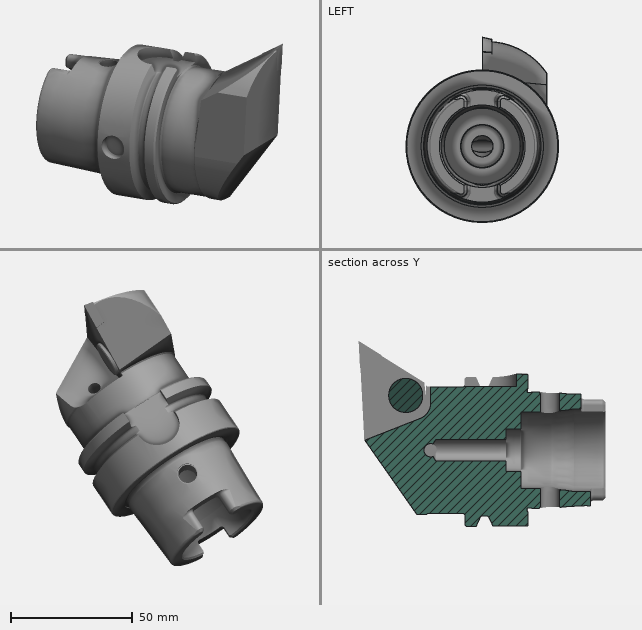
import cadquery as cq
import math


SHANK_LENGTH = 31.9
GAUGE_RADIUS = 24.3
TAPER_END = -1.8
TAPER_SLOPE = 0.05
RELIEF_START = -0.9
RELIEF_RADIUS = 23.9
MOUTH_ROUND = 1.1
MOUTH_FLARE = 45.0
BORE_RADIUS = 17.0
BORE_CHAMFER = 0.7
BORE_STRAIGHT_END = -18.9
BORE_INNER_RADIUS = 15.7
BORE_TAPER_END = -9.7
BORE_FLOOR = 3.1
COUNTERBORE_RADIUS = 9.0
COUNTERBORE_CHAMFER = 0.2
COUNTERBORE_DEPTH = 6.1
COOLANT_BORE_RADIUS = 4.4
COOLANT_BORE_END = 38.2
COOLANT_POINT_LENGTH = 2.5
CLAMP_HOLE_X = -8.9
CLAMP_HOLE_RADIUS = 3.9
CLAMP_HOLE_MOUTH = 4.3
SLOT_HALF_WIDTH = 6.3
SLOT_CREST = 20.9
SLOT_EDGE_ROUND = 2.3
SLOT_SHOULDER_FALL = 16.0
SLOT_FLOOR_FILLET = 1.3
UPPER_SLOT_END = -21.8
LOWER_SLOT_END = -25.7

FLANGE_RADIUS = 31.5
FLANGE_WIDTH = 26.2
FLANGE_EDGE = 0.6
FACE_EDGE = 0.3
FACE_RECESS_RADIUS = 25.3
FACE_RECESS_DEPTH = 0.5
GROOVE_RADIUS = 27.3
GROOVE_START = 14.7
GROOVE_END = 21.5
GROOVE_FLANK = 1.9
GROOVE_FILLET = 0.6
KEYWAY_START = 5.0
KEYWAY_HALF_WIDTH = 9.1
KEYWAY_FLOOR = 26.4
CHIP_HOLE_X = 7.2
CHIP_HOLE_RADIUS = 5.1
CHIP_HOLE_DEPTH = 4.3
CHIP_HOLE_FILLET = 0.2

NECK_RADIUS = 26.2
HEAD_RADIUS = 26.7
HEAD_START = 42.1
HEAD_CHAMFER = 0.5
CLEARANCE = 7.0
LEAD_ANGLE = 32.0
INSERT_ANGLE = 55.0
LOWER_FACE_ANGLE = 35.0
HEAD_KNEE_Z = 4.2
HEAD_FLAT_TOP = 30.1
CROWN_RADIUS = 30.1
CROWN_CENTRE_Y = -1.8
BACK_FACE_LEAN = 7.1
BACK_FACE_TURN = 5.3
BACK_FACE_CORNER = (45.0, -HEAD_RADIUS, 25.2)
CUTTING_HALF_TURN = -0.12
BACKING_HALF_TURN = 0.75

POCKET_START = 40.5
POCKET_FLOOR_ANGLE = 21.5
POCKET_FILLET = 6.6
POCKET_HOLE_X = 45.4
POCKET_HOLE_Y = 10.8
POCKET_HOLE_RADIUS = 2.6

TIP_X = 70.0
TIP_Z = 45.0
INSERT_EDGE = 11.2
INSERT_THICKNESS = 4.0
INSERT_OVERHANG = 0.2
DISC_RADIUS = 7.5
DISC_THICKNESS = 1.7
DISC_CHAMFER = 0.4
DISC_X = 50.6
DISC_Z = 22.6

FAR = 61.1


def direction(angle):
    """Unit vector in the XZ plane, measured from +X towards +Z."""
    turn = math.radians(angle)
    return cq.Vector(math.cos(turn), 0, math.sin(turn))


TIP = cq.Vector(TIP_X, 0, TIP_Z)
LEAD_EDGE = direction(LEAD_ANGLE)
END_EDGE = direction(LEAD_ANGLE + INSERT_ANGLE)


def xz(vector):
    """Local coordinates of a point on the XZ workplane."""
    return (vector.x, vector.z)


def half_space(point, normal):
    """Large block that fills the side of a plane to which the normal points."""
    axis = cq.Vector(*normal)
    across = axis.cross(cq.Vector(0, 1, 0))
    plane = cq.Plane(origin=point, xDir=across, normal=axis)
    return cq.Workplane(plane).rect(4 * FAR, 4 * FAR).extrude(2 * FAR)


def turned(points):
    """Solid of revolution about the X axis from (x, radius) points."""
    return cq.Workplane("XY").polyline(points).close().revolve(360, (0, 0, 0), (1, 0, 0))


def head_corners():
    middle = direction(LEAD_ANGLE + INSERT_ANGLE / 2)
    inset = INSERT_OVERHANG / math.sin(math.radians(INSERT_ANGLE / 2))
    nose = TIP - middle * inset
    knee = nose - END_EDGE * ((nose.z - HEAD_KNEE_Z) / END_EDGE.z)
    return nose, knee


NOSE, KNEE = head_corners()


def turned_body():
    """Shank, flange and neck."""
    front_radius = GAUGE_RADIUS - TAPER_SLOPE * (SHANK_LENGTH + TAPER_END)
    body = turned([
        (-SHANK_LENGTH, 0),
        (-SHANK_LENGTH, front_radius),
        (TAPER_END, GAUGE_RADIUS),
        (RELIEF_START, RELIEF_RADIUS),
        (FACE_RECESS_DEPTH, RELIEF_RADIUS),
        (FACE_RECESS_DEPTH, FACE_RECESS_RADIUS),
        (0, FACE_RECESS_RADIUS),
        (0, FLANGE_RADIUS - FACE_EDGE),
        (FACE_EDGE, FLANGE_RADIUS),
        (FLANGE_WIDTH - FLANGE_EDGE, FLANGE_RADIUS),
        (FLANGE_WIDTH, FLANGE_RADIUS - FLANGE_EDGE),
        (FLANGE_WIDTH, NECK_RADIUS + FLANGE_EDGE),
        (FLANGE_WIDTH + FLANGE_EDGE, NECK_RADIUS),
        (HEAD_START - HEAD_CHAMFER, NECK_RADIUS),
        (HEAD_START, NECK_RADIUS + HEAD_CHAMFER),
        (HEAD_START, 0),
    ])
    return body.faces("<X").edges().fillet(MOUTH_ROUND)


def gripper_groove():
    """Ring that cuts the V-shaped groove, with rounded floor corners."""
    ring = turned([
        (GROOVE_START, FLANGE_RADIUS),
        (GROOVE_START + GROOVE_FLANK, GROOVE_RADIUS),
        (GROOVE_END - GROOVE_FLANK, GROOVE_RADIUS),
        (GROOVE_END, FLANGE_RADIUS),
    ])
    return ring.edges(cq.selectors.RadiusNthSelector(0)).fillet(GROOVE_FILLET)


def bore():
    """Stepped cavity that opens at the shank mouth."""
    counterbore_end = BORE_FLOOR + COUNTERBORE_DEPTH
    return turned([
        (-SHANK_LENGTH, 0),
        (-SHANK_LENGTH, BORE_RADIUS + BORE_CHAMFER),
        (-SHANK_LENGTH + BORE_CHAMFER, BORE_RADIUS),
        (BORE_STRAIGHT_END, BORE_RADIUS),
        (BORE_TAPER_END, BORE_INNER_RADIUS),
        (BORE_FLOOR, BORE_INNER_RADIUS),
        (BORE_FLOOR, COUNTERBORE_RADIUS),
        (BORE_FLOOR + COUNTERBORE_CHAMFER, COUNTERBORE_RADIUS - COUNTERBORE_CHAMFER),
        (counterbore_end, COUNTERBORE_RADIUS - COUNTERBORE_CHAMFER),
        (counterbore_end, COOLANT_BORE_RADIUS),
        (COOLANT_BORE_END, COOLANT_BORE_RADIUS),
        (COOLANT_BORE_END + COOLANT_POINT_LENGTH, 0),
    ])


def slot_profile(x):
    """Upper driving slot in section: walls that round over into shoulders falling outwards."""
    bend = SLOT_CREST - SLOT_EDGE_ROUND
    crest_y = SLOT_HALF_WIDTH + SLOT_EDGE_ROUND
    outer_y = 2 * crest_y

    def on_round(angle):
        turn = math.radians(angle)
        return (crest_y - SLOT_EDGE_ROUND * math.cos(turn), bend + SLOT_EDGE_ROUND * math.sin(turn))

    arc_end = 90 + SLOT_SHOULDER_FALL
    middle_y, middle_z = on_round(arc_end / 2)
    shoulder_y, shoulder_z = on_round(arc_end)
    outer_z = shoulder_z - (outer_y - shoulder_y) * math.tan(math.radians(SLOT_SHOULDER_FALL))
    return (
        cq.Workplane("YZ", origin=(x, 0, 0))
        .moveTo(-SLOT_HALF_WIDTH, 0)
        .lineTo(SLOT_HALF_WIDTH, 0)
        .lineTo(SLOT_HALF_WIDTH, bend)
        .threePointArc((middle_y, middle_z), (shoulder_y, shoulder_z))
        .lineTo(outer_y, outer_z)
        .lineTo(outer_y, FLANGE_RADIUS)
        .lineTo(-outer_y, FLANGE_RADIUS)
        .lineTo(-outer_y, outer_z)
        .lineTo(-shoulder_y, shoulder_z)
        .threePointArc((-middle_y, middle_z), (-SLOT_HALF_WIDTH, bend))
        .close()
    )


def driving_slot(end):
    """Slot in the upper wall of the shank, with a filleted end and a flared mouth."""
    mouth = MOUTH_ROUND - SHANK_LENGTH
    channel = slot_profile(mouth).extrude(end - mouth)
    channel = channel.faces(">X").edges().fillet(SLOT_FLOOR_FILLET)
    flared_mouth = slot_profile(mouth).extrude(-MOUTH_ROUND, taper=-MOUTH_FLARE)
    return channel.union(flared_mouth)


def clamp_holes():
    """Radial hole through both walls of the shank, with a wider mouth at each end."""
    mouth_depth = CLAMP_HOLE_MOUTH - CLAMP_HOLE_RADIUS
    surface = GAUGE_RADIUS + TAPER_SLOPE * (CLAMP_HOLE_X - TAPER_END)
    base = cq.Workplane("XY", origin=(CLAMP_HOLE_X, 0, 0))
    hole = base.circle(CLAMP_HOLE_RADIUS).extrude(FLANGE_RADIUS, both=True)
    for side in (1, -1):
        mouth = (
            base.workplane(offset=side * (surface - mouth_depth))
            .circle(CLAMP_HOLE_MOUTH)
            .extrude(side * FAR)
        )
        hole = hole.union(mouth)
    return hole


def keyway(side):
    """Round-ended flat across the flange rim, open towards the neck."""
    centre = KEYWAY_START + KEYWAY_HALF_WIDTH
    return (
        cq.Workplane("XY", origin=(0, 0, side * KEYWAY_FLOOR))
        .moveTo(FLANGE_WIDTH, -KEYWAY_HALF_WIDTH)
        .lineTo(centre, -KEYWAY_HALF_WIDTH)
        .threePointArc((KEYWAY_START, 0), (centre, KEYWAY_HALF_WIDTH))
        .lineTo(FLANGE_WIDTH, KEYWAY_HALF_WIDTH)
        .close()
        .extrude(side * FLANGE_RADIUS)
    )


def chip_hole():
    """Blind hole in the -Y side of the flange rim."""
    return (
        cq.Workplane("XZ", origin=(CHIP_HOLE_X, -FLANGE_RADIUS + CHIP_HOLE_DEPTH, 0))
        .circle(CHIP_HOLE_RADIUS)
        .extrude(FLANGE_RADIUS)
        .faces(">Y")
        .edges()
        .fillet(CHIP_HOLE_FILLET)
    )


def below_lower_face(turn):
    """Space beyond the sloping lower face, which passes through the knee of the outline."""
    slope = math.tan(math.radians(LOWER_FACE_ANGLE))
    return half_space(KNEE.toTuple(), (1, turn, -slope))


def cutting_half():
    """Half of the head on the -Y side, whose flanks lean in by the clearance angle."""
    foot = NOSE - END_EDGE * (2 * FAR)
    outline = [
        xz(NOSE),
        xz(foot),
        (0, foot.z),
        xz(NOSE - LEAD_EDGE * (NOSE.x / LEAD_EDGE.x)),
    ]
    wedge = cq.Workplane("XZ").polyline(outline).close().extrude(HEAD_RADIUS, taper=CLEARANCE)

    flat_rise = math.sqrt(CROWN_RADIUS**2 - (HEAD_RADIUS + CROWN_CENTRE_Y) ** 2)
    crown_centre_z = HEAD_FLAT_TOP - flat_rise
    crown_top = crown_centre_z + math.sqrt(CROWN_RADIUS**2 - CROWN_CENTRE_Y**2)
    crown_diagonal = CROWN_RADIUS * math.sqrt(0.5)
    head_diagonal = HEAD_RADIUS * math.sqrt(0.5)
    section = (
        cq.Workplane("YZ", origin=(HEAD_START, 0, 0))
        .moveTo(0, -HEAD_RADIUS)
        .threePointArc((-head_diagonal, -head_diagonal), (-HEAD_RADIUS, 0))
        .lineTo(-HEAD_RADIUS, HEAD_FLAT_TOP)
        .threePointArc(
            (CROWN_CENTRE_Y - crown_diagonal, crown_centre_z + crown_diagonal),
            (0, crown_top),
        )
        .close()
        .extrude(FAR)
    )
    back_normal = (
        -1,
        -math.tan(math.radians(BACK_FACE_TURN)),
        math.tan(math.radians(BACK_FACE_LEAN)),
    )
    half = wedge.intersect(section).cut(half_space(BACK_FACE_CORNER, back_normal))
    return half.cut(below_lower_face(CUTTING_HALF_TURN))


def backing_half():
    """Half-round part of the head on the +Y side, behind the cutting face."""
    drum = (
        cq.Workplane("YZ", origin=(HEAD_START, 0, 0))
        .moveTo(0, -HEAD_RADIUS)
        .threePointArc((HEAD_RADIUS, 0), (0, HEAD_RADIUS))
        .close()
        .extrude(FAR)
    )
    return drum.cut(below_lower_face(BACKING_HALF_TURN))


def pocket_floor_z(x):
    """Height of the sloping pocket floor at a given X."""
    return KNEE.z + math.tan(math.radians(POCKET_FLOOR_ANGLE)) * (KNEE.x - x)


def chip_pocket():
    """Pocket on the +Y side: upright wall, filleted into a floor that falls towards the nose."""
    corner = (POCKET_START, pocket_floor_z(POCKET_START))
    outline = [
        (POCKET_START, FAR),
        corner,
        (POCKET_START + FAR, pocket_floor_z(POCKET_START + FAR)),
        (POCKET_START + FAR, FAR),
    ]
    pocket = cq.Workplane("XZ").polyline(outline).close().extrude(-FAR)
    corner_edge = cq.NearestToPointSelector((POCKET_START, FAR / 2, corner[1]))
    return pocket.edges(corner_edge).fillet(POCKET_FILLET)


def coolant_passage():
    """Hole square to the pocket floor and a cross hole that joins it to the coolant bore."""
    floor_z = pocket_floor_z(POCKET_HOLE_X)
    outward = direction(90 - POCKET_FLOOR_ANGLE)
    mouth = cq.Vector(POCKET_HOLE_X, POCKET_HOLE_Y, floor_z) + outward * POCKET_HOLE_RADIUS
    depth = mouth.z / outward.z
    foot = mouth - outward * depth
    upper = cq.Workplane(cq.Plane(origin=foot.toTuple(), xDir=(0, 1, 0), normal=outward.toTuple()))
    upper = upper.circle(POCKET_HOLE_RADIUS).extrude(depth)
    cross = (
        cq.Workplane("XZ", origin=(foot.x, foot.y + POCKET_HOLE_RADIUS, 0))
        .circle(POCKET_HOLE_RADIUS)
        .extrude(foot.y + POCKET_HOLE_RADIUS + COOLANT_BORE_RADIUS)
    )
    return upper.union(cross)


def insert():
    """Rhombic insert with clearance flanks; its top lies in the cutting face."""
    outline = [
        TIP,
        TIP - END_EDGE * INSERT_EDGE,
        TIP - (END_EDGE + LEAD_EDGE) * INSERT_EDGE,
        TIP - LEAD_EDGE * INSERT_EDGE,
    ]
    points = [xz(point) for point in outline]
    return cq.Workplane("XZ").polyline(points).close().extrude(INSERT_THICKNESS, taper=CLEARANCE)


def clamp_disc():
    """Round disc that sits on the cutting face."""
    return (
        cq.Workplane("XZ", origin=(DISC_X, 0, DISC_Z))
        .circle(DISC_RADIUS)
        .extrude(-DISC_THICKNESS)
        .faces("<Y or >Y")
        .chamfer(DISC_CHAMFER)
    )


def holder():
    """Shank, flange, neck and head in one piece."""
    body = turned_body().cut(gripper_groove()).cut(bore())
    body = body.cut(driving_slot(UPPER_SLOT_END))
    body = body.cut(driving_slot(LOWER_SLOT_END).rotate((0, 0, 0), (1, 0, 0), 180))
    body = body.cut(clamp_holes()).cut(chip_hole())
    for side in (1, -1):
        body = body.cut(keyway(side))
    body = body.union(cutting_half()).union(backing_half())
    body = body.cut(chip_pocket()).cut(coolant_passage())
    return body.cut(insert())


result = cq.Compound.makeCompound([holder().val(), insert().val(), clamp_disc().val()])